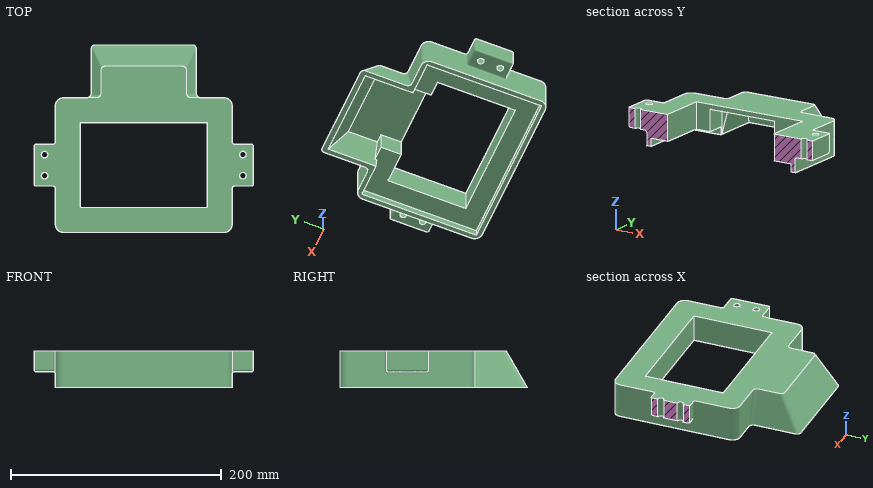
import cadquery as cq
import math

height = 35.0
opening_x = 120.0
opening_y = 80.0
rail = 24.0
frame_x = opening_x + 2 * rail
frame_y = opening_y + 2 * rail
frame_corner_radius = 8.0
frame_back = frame_y / 2

hood_width = 100.0
hood_length = 50.0
hood_back = frame_back + hood_length
side_slope = math.radians(15)
back_slope = math.radians(30)
hood_edge_radius = 4.0
hood_root_radius = 4.0

wall = 5.0
ceiling = height - wall
recess_depth = 8.0
duct_left = -44.5
duct_right = 28.0
duct_end_skin = 3.0
duct_end = frame_back - duct_end_skin

tab_length = 20.0
tab_width = 40.0
tab_height = 20.0
tab_radius = 2.0
tab_hole_diameter = 6.0
tab_hole_spacing = 20.0

selection_margin = 1.0


def box(x_min, x_max, y_min, y_max, z_min, z_max):
    """Box given by its limits along each axis."""
    size = (x_max - x_min, y_max - y_min, z_max - z_min)
    return cq.Workplane("XY").box(*size, centered=False).translate((x_min, y_min, z_min))


def sloped_block(half_width, y_front, y_back, top):
    """Block on z = 0 whose two sides and back lean inwards; its front is upright."""
    top_half_width = half_width - top * math.tan(side_slope)
    top_back = y_back - top * math.tan(back_slope)
    across = (
        cq.Workplane("XZ", origin=(0, y_back, 0))
        .polyline([(-half_width, 0), (half_width, 0), (top_half_width, top), (-top_half_width, top)])
        .close()
        .extrude(y_back - y_front)
    )
    along = (
        cq.Workplane("YZ")
        .polyline([(y_front, 0), (y_back, 0), (top_back, top), (y_front, top)])
        .close()
        .extrude(half_width, both=True)
    )
    return across.intersect(along)


def mid_height_zone(half_width, y_min, y_max):
    """Selector for edges whose centres lie near half height, within the given plan limits."""
    return cq.selectors.BoxSelector(
        (-half_width, y_min, height / 4),
        (half_width, y_max, height * 3 / 4),
    )


def make_frame():
    block = box(-frame_x / 2, frame_x / 2, -frame_y / 2, frame_y / 2, 0, height)
    return block.edges("|Z").fillet(frame_corner_radius)


def make_hood():
    """Solid hood, overlapping the back rail by half its width."""
    hood = sloped_block(hood_width / 2, frame_back - rail / 2, hood_back, height)
    zone = mid_height_zone(hood_width, hood_back - height * math.tan(back_slope), hood_back)
    return hood.edges(zone).fillet(hood_edge_radius)


def round_hood_root(body):
    """Blend the sloping sides of the hood into the back of the frame."""
    zone = mid_height_zone(
        hood_width / 2 + selection_margin,
        frame_back - selection_margin,
        frame_back + selection_margin,
    )
    return body.edges(zone).fillet(hood_root_radius)


def add_tab(body, side):
    """Add the tab on the given side (-1 or +1), with its edges and its root rounded."""
    root_x = side * frame_x / 2
    tip_x = side * (frame_x / 2 + tab_length)
    inner_x = side * (frame_x / 2 - rail / 2)
    x_min, x_max = sorted((inner_x, tip_x))
    tab = box(x_min, x_max, -tab_width / 2, tab_width / 2, height - tab_height, height)
    tip = ">X" if side > 0 else "<X"
    tab = tab.faces(tip).edges("|Z").fillet(tab_radius)
    tab = tab.faces("<Z").edges().fillet(tab_radius)
    body = body.union(tab)
    root = cq.selectors.BoxSelector(
        (root_x - selection_margin, -tab_width / 2 - selection_margin, height - tab_height - selection_margin),
        (root_x + selection_margin, tab_width / 2 + selection_margin, height - selection_margin),
    )
    body = body.edges(root).fillet(tab_radius)
    hole_x = side * (frame_x + tab_length) / 2
    holes = (
        cq.Workplane("XY")
        .pushPoints([(hole_x, -tab_hole_spacing / 2), (hole_x, tab_hole_spacing / 2)])
        .circle(tab_hole_diameter / 2)
        .extrude(height)
    )
    return body.cut(holes)


def cut_opening(body):
    return body.cut(box(-opening_x / 2, opening_x / 2, -opening_y / 2, opening_y / 2, 0, height))


def cut_underside(body):
    """Cut the recess below the frame, the hood cavity and the duct that joins them."""
    recess_x = frame_x / 2 - wall
    recess_y = frame_y / 2 - wall
    recess = box(-recess_x, recess_x, -recess_y, recess_y, 0, recess_depth)

    cavity_half_width = hood_width / 2 - wall / math.cos(side_slope)
    cavity_back = hood_back - wall / math.cos(back_slope)
    cavity = sloped_block(cavity_half_width, duct_end, cavity_back, ceiling)
    passage = sloped_block(cavity_half_width, 0, cavity_back, recess_depth)

    duct = box(duct_left, duct_right, 0, duct_end, 0, ceiling)
    return body.cut(recess).cut(cavity).cut(passage).cut(duct)


body = make_frame().union(make_hood())
body = round_hood_root(body)
for side in (-1, 1):
    body = add_tab(body, side)
body = cut_opening(body)
result = cut_underside(body)